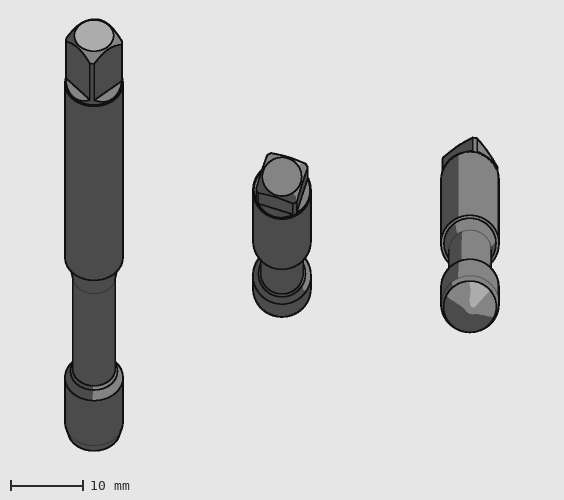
import cadquery as cq

total_length = 93.5
shank_diameter = 8.0
neck_diameter = 5.9

point_diameter = 7.3
lead_top_z = 5.4
head_shoulder_z = 15.6
body_split_z = 17.0
neck_bottom_z = 17.6

neck_top_z = 38.6
shank_bottom_z = 43.0
neck_taper_top_diameter = 7.2
shank_top_z = 82.6

drive_diameter = 7.8
square_width = 5.9
square_bottom_z = 83.9
end_face_diameter = 5.4
end_chamfer_height = 1.3

shank_radius = shank_diameter / 2
neck_radius = neck_diameter / 2
point_radius = point_diameter / 2
drive_radius = drive_diameter / 2
end_face_radius = end_face_diameter / 2

cone_fraction = (body_split_z - head_shoulder_z) / (neck_bottom_z - head_shoulder_z)
split_radius = shank_radius + cone_fraction * (neck_radius - shank_radius)


def revolved(profile):
    """Revolve a closed (radius, z) profile about Z."""
    return cq.Workplane("XZ").polyline(profile).close().revolve(360, (0, 0, 0), (0, 1, 0))


def make_head():
    """Pointed cylinder with a tapered lead and the lower part of the cone."""
    return revolved([
        (0, 0),
        (point_radius, point_radius),
        (shank_radius, lead_top_z),
        (shank_radius, head_shoulder_z),
        (split_radius, body_split_z),
        (0, body_split_z),
    ])


def make_flat_cutter():
    """Block that cuts the +X flat of the square and its ramp."""
    flat_x = square_width / 2
    outer_x = shank_diameter
    profile = [
        (flat_x, total_length),
        (flat_x, square_bottom_z),
        (outer_x, square_bottom_z - (outer_x - flat_x)),
        (outer_x, total_length),
    ]
    return cq.Workplane("XZ").polyline(profile).close().extrude(shank_radius, both=True)


def make_shank():
    """Neck, taper and plain shank, with a chamfered square at the upper end."""
    chamfer = shank_radius - drive_radius
    shank = revolved([
        (0, body_split_z),
        (split_radius, body_split_z),
        (neck_radius, neck_bottom_z),
        (neck_radius, neck_top_z),
        (neck_taper_top_diameter / 2, shank_bottom_z),
        (shank_radius, shank_bottom_z),
        (shank_radius, shank_top_z),
        (drive_radius, shank_top_z + chamfer),
        (drive_radius, total_length - end_chamfer_height),
        (end_face_radius, total_length),
        (0, total_length),
    ])
    for angle in (0, 90, 180, 270):
        shank = shank.cut(make_flat_cutter().rotate((0, 0, 0), (0, 0, 1), angle))
    return shank


head = make_head()
shank = make_shank()

result = cq.Compound.makeCompound([head.val(), shank.solids().val()])